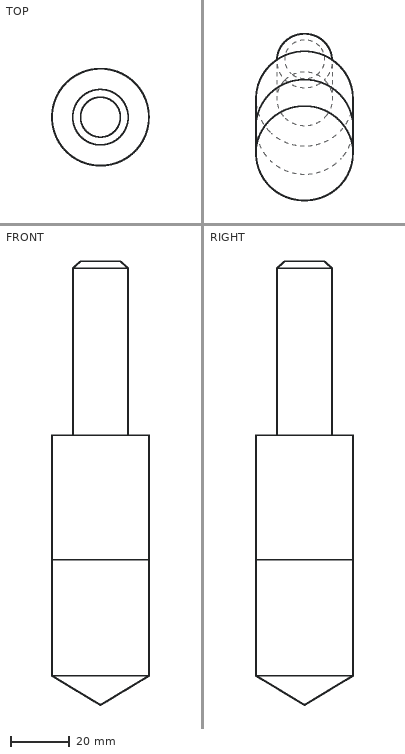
import cadquery as cq

total_height = 152.4
body_diameter = 33.4
shank_diameter = 19.0
shank_tip_diameter = 13.7
shank_chamfer_height = 2.5
tip_height = 10.0
seam_height = 50.0
shoulder_height = 92.7

body_radius = body_diameter / 2
shank_radius = shank_diameter / 2
shank_tip_radius = shank_tip_diameter / 2
chamfer_start = total_height - shank_chamfer_height


def revolve_profile(points):
    """Revolve a closed (radius, height) outline about the Z axis."""
    return cq.Workplane("XZ").polyline(points).close().revolve(360, (0, 0, 0), (0, 1, 0))


def make_pointed_end():
    """Lower cylinder with its conical point at Z = 0."""
    return revolve_profile([
        (0, 0),
        (body_radius, tip_height),
        (body_radius, seam_height),
        (0, seam_height),
    ])


def make_shank_holder():
    """Upper cylinder carrying the chamfered shank."""
    return revolve_profile([
        (0, seam_height),
        (body_radius, seam_height),
        (body_radius, shoulder_height),
        (shank_radius, shoulder_height),
        (shank_radius, chamfer_start),
        (shank_tip_radius, total_height),
        (0, total_height),
    ])


pointed_end = make_pointed_end()
shank_holder = make_shank_holder()

result = cq.Compound.makeCompound([pointed_end.val(), shank_holder.val()])